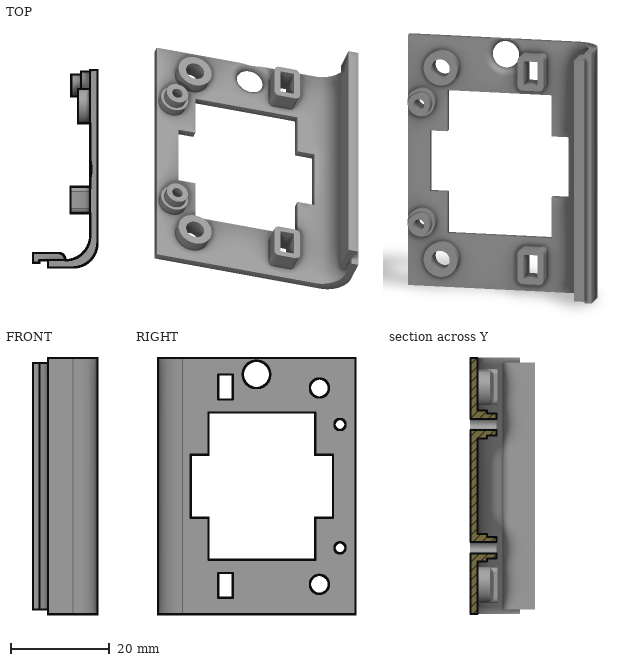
import cadquery as cq
import math

HEIGHT = 52.0
DEPTH = 40.1
WIDTH = 13.09
THICKNESS = 1.5
INNER_FACE = -THICKNESS

LIP_REACH = 10.05
BEND_OUTER_RADIUS = 5.0
BEND_INNER_RADIUS = 5.0

STRIP_LENGTH = 50.0
STRIP_TOP = 2 * THICKNESS
STRIP_END_X = -6.5
STRIP_ROUND = 1.5
HOOK_WIDTH = 1.3
HOOK_BOTTOM = 0.95
GROOVE_TOP = 1.45

WINDOW_Y = 21.1
WINDOW_SIZE = (21.6, 29.8)
WINDOW_WINGS_SIZE = (28.8, 12.7)

BOSS_Y = 32.75
BOSS_Z = 19.9
BOSS_DIAMETER = 7.0
BOSS_HEIGHT = 2.5
BOSS_HOLE = 3.8

STEPPED_Y = 36.92
STEPPED_Z = 12.5
STEPPED_BASE_DIAMETER = 5.7
STEPPED_BASE_HEIGHT = 1.9
STEPPED_TIP_DIAMETER = 4.5
STEPPED_HEIGHT = 3.85
STEPPED_HOLE = 2.2

SOCKET_Y = 13.7
SOCKET_Z = 20.1
SOCKET_SIZE = (5.4, 7.2)
SOCKET_OPENING = (2.9, 5.0)
SOCKET_HEIGHT = 4.0
SOCKET_CORNER_RADIUS = 1.0

ROUNDED_HOLE_Y = 20.0
ROUNDED_HOLE_Z = 22.65
ROUNDED_HOLE_RADIUS = 2.75
MOUTH_ROUND = THICKNESS


def mid_arc(center_x, center_y, radius):
    """Middle point of a quarter arc facing +X, -Y."""
    offset = radius * math.sqrt(0.5)
    return (center_x + offset, center_y - offset)


def bent_plate():
    """L-shaped sheet with a rounded bend, extruded along Z."""
    inner_x = INNER_FACE - BEND_INNER_RADIUS
    inner_y = THICKNESS + BEND_INNER_RADIUS
    return (
        cq.Workplane("XY", origin=(0, 0, -HEIGHT / 2))
        .moveTo(0, DEPTH)
        .lineTo(0, BEND_OUTER_RADIUS)
        .threePointArc(
            mid_arc(-BEND_OUTER_RADIUS, BEND_OUTER_RADIUS, BEND_OUTER_RADIUS),
            (-BEND_OUTER_RADIUS, 0),
        )
        .lineTo(-LIP_REACH, 0)
        .lineTo(-LIP_REACH, THICKNESS)
        .lineTo(inner_x, THICKNESS)
        .threePointArc(mid_arc(inner_x, inner_y, BEND_INNER_RADIUS), (INNER_FACE, inner_y))
        .lineTo(INNER_FACE, DEPTH)
        .close()
        .extrude(HEIGHT)
    )


def hooked_strip():
    """Strip on the lip: rounded inner end, downward hook at the free edge."""
    hook_x = -WIDTH + HOOK_WIDTH
    round_x = STRIP_END_X - STRIP_ROUND
    round_y = STRIP_TOP - STRIP_ROUND
    offset = STRIP_ROUND * math.sqrt(0.5)
    return (
        cq.Workplane("XY", origin=(0, 0, -STRIP_LENGTH / 2))
        .moveTo(-WIDTH, HOOK_BOTTOM)
        .lineTo(hook_x, HOOK_BOTTOM)
        .lineTo(hook_x, GROOVE_TOP)
        .lineTo(STRIP_END_X, GROOVE_TOP)
        .lineTo(STRIP_END_X, round_y)
        .threePointArc((round_x + offset, round_y + offset), (round_x, STRIP_TOP))
        .lineTo(-WIDTH, STRIP_TOP)
        .close()
        .extrude(STRIP_LENGTH)
    )


def plane_at(x, y, z):
    """Workplane facing -X; its local axes are Z then Y."""
    return cq.Workplane(cq.Plane(origin=(x, y, z), xDir=(0, 0, 1), normal=(-1, 0, 0)))


def post(y, z, diameter, height):
    """Round post standing on the inner face, rooted through the plate."""
    return plane_at(0, y, z).circle(diameter / 2).extrude(THICKNESS + height)


def bore(y, z, diameter):
    """Cutter for a round hole, long enough for any post."""
    return plane_at(0, y, z).circle(diameter / 2).extrude(WIDTH)


def block(y, z, size, length):
    """Box of the given (Y, Z) size reaching from the outer face towards -X."""
    return plane_at(0, y, z).rect(size[1], size[0]).extrude(length)


def socket(z):
    """Solid socket body with rounded edges along X."""
    body = block(SOCKET_Y, z, SOCKET_SIZE, THICKNESS + SOCKET_HEIGHT)
    return body.edges("|X").fillet(SOCKET_CORNER_RADIUS)


def rounded_hole():
    """Cutter for the hole whose wall flares smoothly into the inner face."""
    mouth_radius = ROUNDED_HOLE_RADIUS + MOUTH_ROUND
    offset = MOUTH_ROUND * math.sqrt(0.5)
    wall_end = INNER_FACE + MOUTH_ROUND
    return (
        cq.Workplane("XY", origin=(0, ROUNDED_HOLE_Y, ROUNDED_HOLE_Z))
        .moveTo(INNER_FACE, 0)
        .lineTo(INNER_FACE, mouth_radius)
        .threePointArc(
            (wall_end - offset, mouth_radius - offset),
            (wall_end, ROUNDED_HOLE_RADIUS),
        )
        .lineTo(wall_end, 0)
        .close()
        .revolve(360, (0, 0), (1, 0))
    )


result = bent_plate().union(hooked_strip())
result = result.cut(block(WINDOW_Y, 0, WINDOW_SIZE, THICKNESS))
result = result.cut(block(WINDOW_Y, 0, WINDOW_WINGS_SIZE, THICKNESS))
result = result.cut(rounded_hole())

for side in (1, -1):
    result = result.union(post(BOSS_Y, side * BOSS_Z, BOSS_DIAMETER, BOSS_HEIGHT))
    result = result.cut(bore(BOSS_Y, side * BOSS_Z, BOSS_HOLE))

    stepped_z = side * STEPPED_Z
    result = result.union(post(STEPPED_Y, stepped_z, STEPPED_BASE_DIAMETER, STEPPED_BASE_HEIGHT))
    result = result.union(post(STEPPED_Y, stepped_z, STEPPED_TIP_DIAMETER, STEPPED_HEIGHT))
    result = result.cut(bore(STEPPED_Y, stepped_z, STEPPED_HOLE))

    result = result.union(socket(side * SOCKET_Z))
    result = result.cut(block(SOCKET_Y, side * SOCKET_Z, SOCKET_OPENING, WIDTH))